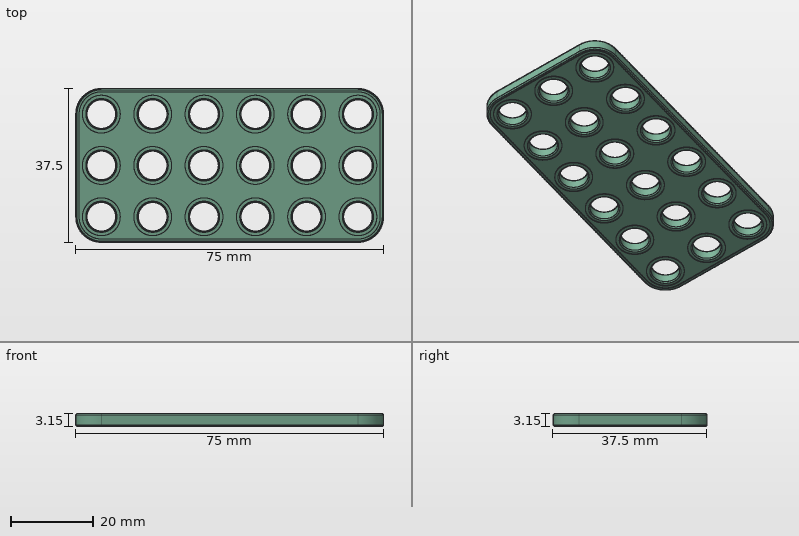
import cadquery as cq

length = 75.0
columns = 6
rows = 3
pitch = length / columns
width = rows * pitch
thickness = 3.15
corner_radius = pitch / 2

edge_chamfer = 0.315
hole_diameter = 7.0
ring_diameter = 9.2

border_width = 0.8
relief_depth = 0.2


def rounded_block(inset, height):
    """Plate outline moved inward by inset, raised from Z = 0 to height."""
    return (
        cq.Workplane("XY")
        .rect(length - 2 * inset, width - 2 * inset)
        .extrude(height)
        .edges("|Z")
        .fillet(corner_radius - inset)
    )


def cylinders(diameter, height):
    """One cylinder on every hole centre, standing on Z = 0."""
    return (
        cq.Workplane("XY")
        .rarray(pitch, pitch, columns, rows)
        .circle(diameter / 2)
        .extrude(height)
    )


def make_plate():
    """Plate with holes; all edges on both faces are chamfered."""
    plate = rounded_block(0, thickness).cut(cylinders(hole_diameter, thickness))
    return plate.faces("<Z or >Z").edges().chamfer(edge_chamfer)


def make_relief():
    """Material removed from one face, between the border and the rings."""
    return rounded_block(border_width, relief_depth).cut(cylinders(ring_diameter, relief_depth))


relief = make_relief()
result = (
    make_plate()
    .cut(relief)
    .cut(relief.translate((0, 0, thickness - relief_depth)))
    .translate((0, 0, -thickness / 2))
)